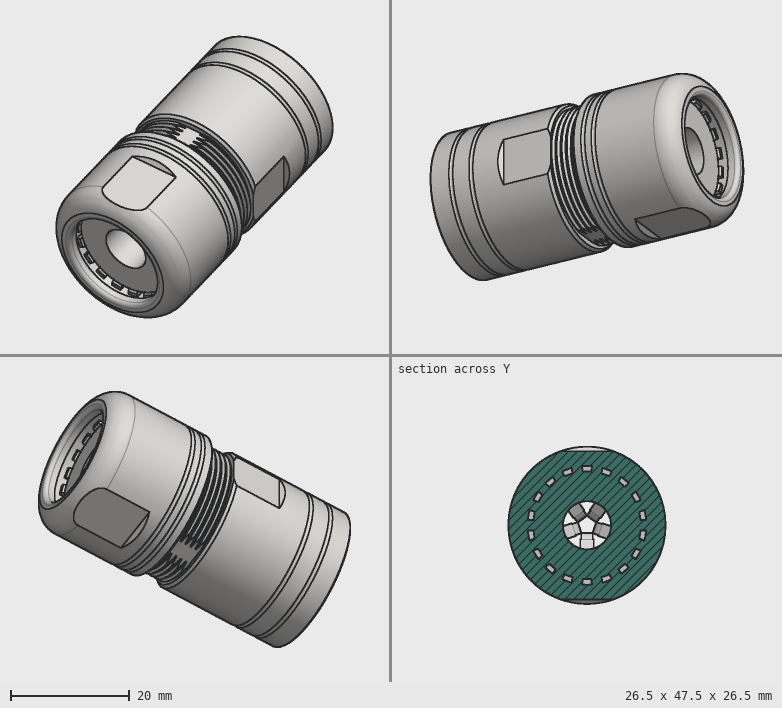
import cadquery as cq
import math


NUT_RADIUS = 13.25
NUT_BACK = 19.55
NUT_ROUND_RADIUS = 4.0
NUT_ROUND_LENGTH = 3.85
NUT_FLAT_HEIGHT = 12.5
NUT_FLAT_END = 12.5
NUT_GROOVES = (15.55, 17.55)
NUT_BACK_CHAMFER = 0.3

MOUTH_RADIUS = 8.8
MOUTH_ROUND = 0.75
LIP_THICKNESS = 2.0
SEAL_RADIUS = 9.05
SEAL_FACE = 4.0
CAGE_CAVITY_RADIUS = 9.98
CAGE_CAVITY_END = 5.4
TOOTH_COUNT = 18
TOOTH_WIDTH = 1.8
TOOTH_FRONT = 3.55
TOOTH_BEVEL = 0.3

LENGTH = 47.5
BODY_RADIUS = 12.8
BODY_FRONT = 24.45
BODY_FRONT_BEVEL_LENGTH = 0.55
BODY_FRONT_BEVEL_DEPTH = 0.45
BODY_BACK_CHAMFER = 0.2
BODY_FLAT_DISTANCE = 12.05
BODY_FLAT_END = 33.6
BODY_GROOVES = (39.5, 43.4)

GROOVE_TUBE_RADIUS = 0.48
GROOVE_DEPTH = 0.2

THREAD_RADIUS = 11.9
THREAD_ROOT_RADIUS = 11.4
THREAD_PITCH = 1.0
THREAD_CREST_WIDTH = 0.055
THREAD_FOOT_WIDTH = 0.95
THREAD_FOOT_RADIUS = 11.3
THREAD_START = 18.9
THREAD_TURNS = 7
NECK_FLAT_HEIGHT = 11.3

BORE_RADIUS = 4.05
FINGER_COUNT = 5
FINGER_START = 28.5
FINGER_SLOPE = 60
FINGER_BEND_RADIUS = 2.35
FINGER_TIP_RADIUS = 1.3
FINGER_WIDTH = 2.3
FINGER_TIP_WIDTH = 2.0

OVERLAP = 0.25
CUTTER_SIZE = 4 * NUT_RADIUS


def revolved(profile):
    """Spin a closed profile, drawn as radius and Y, around the Y axis."""
    return profile.close().revolve(360, (0, 0, 0), (0, 1, 0))


def tube_between(front, back, radius):
    """A solid cylinder on the Y axis."""
    return cq.Workplane("XZ", origin=(0, front, 0)).circle(radius).extrude(front - back)


def groove_ring(radius, position):
    """The ring that cuts a round-bottomed groove into a cylinder."""
    center = radius + GROOVE_TUBE_RADIUS - GROOVE_DEPTH
    return cq.Workplane("XY").center(center, position).circle(GROOVE_TUBE_RADIUS).revolve(
        360, (-center, 0, 0), (-center, 1, 0)
    )


def flat_cutter(distance, outer_radius, start, end):
    """Cutter for a flat facing +Z, with a 45 degree run-out at its far end."""
    rise = outer_radius + OVERLAP - distance
    return (
        cq.Workplane("YZ")
        .moveTo(start, distance)
        .lineTo(end, distance)
        .lineTo(end + rise, distance + rise)
        .lineTo(start, distance + rise)
        .close()
        .extrude(CUTTER_SIZE / 2, both=True)
    )


def turned(shape, angle):
    return shape.rotate((0, 0, 0), (0, 1, 0), angle)


def make_nut():
    face_radius = NUT_RADIUS - NUT_ROUND_RADIUS + math.sqrt(NUT_ROUND_RADIUS**2 - NUT_ROUND_LENGTH**2)
    nut = revolved(
        cq.Workplane("XY")
        .lineTo(0, NUT_BACK)
        .lineTo(NUT_RADIUS - NUT_BACK_CHAMFER, NUT_BACK)
        .lineTo(NUT_RADIUS, NUT_BACK - NUT_BACK_CHAMFER)
        .lineTo(NUT_RADIUS, NUT_ROUND_LENGTH)
        .radiusArc((face_radius, 0), NUT_ROUND_RADIUS)
    )
    for position in NUT_GROOVES:
        nut = nut.cut(groove_ring(NUT_RADIUS, position))
    flat = flat_cutter(NUT_FLAT_HEIGHT, NUT_RADIUS, 0, NUT_FLAT_END)
    for angle in (0, 180):
        nut = nut.cut(turned(flat, angle))
    return nut


def make_mouth():
    """The hollow in front of the seal, with a ring-shaped gap around it, less the cage teeth."""
    mouth = revolved(
        cq.Workplane("XY")
        .lineTo(MOUTH_RADIUS + MOUTH_ROUND, 0)
        .radiusArc((MOUTH_RADIUS, MOUTH_ROUND), MOUTH_ROUND)
        .lineTo(MOUTH_RADIUS, LIP_THICKNESS)
        .lineTo(CAGE_CAVITY_RADIUS, LIP_THICKNESS)
        .lineTo(CAGE_CAVITY_RADIUS, CAGE_CAVITY_END)
        .lineTo(SEAL_RADIUS, CAGE_CAVITY_END)
        .lineTo(SEAL_RADIUS, SEAL_FACE)
        .lineTo(0, SEAL_FACE)
    )
    cage = revolved(
        cq.Workplane("XY")
        .moveTo(SEAL_RADIUS, CAGE_CAVITY_END)
        .lineTo(SEAL_RADIUS, SEAL_FACE)
        .lineTo(SEAL_RADIUS + TOOTH_BEVEL, TOOTH_FRONT)
        .lineTo(CAGE_CAVITY_RADIUS, TOOTH_FRONT)
        .lineTo(CAGE_CAVITY_RADIUS, CAGE_CAVITY_END)
    )
    tooth = cage.intersect(
        cq.Workplane("XY").box(TOOTH_WIDTH, LENGTH, CUTTER_SIZE, centered=(True, True, False))
    )
    for index in range(TOOTH_COUNT):
        mouth = mouth.cut(turned(tooth, 90 + index * 360 / TOOTH_COUNT))
    return mouth


def make_body():
    body = revolved(
        cq.Workplane("XY")
        .moveTo(0, BODY_FRONT)
        .lineTo(BODY_RADIUS - BODY_FRONT_BEVEL_DEPTH, BODY_FRONT)
        .lineTo(BODY_RADIUS, BODY_FRONT + BODY_FRONT_BEVEL_LENGTH)
        .lineTo(BODY_RADIUS, LENGTH - BODY_BACK_CHAMFER)
        .lineTo(BODY_RADIUS - BODY_BACK_CHAMFER, LENGTH)
        .lineTo(0, LENGTH)
    )
    for position in BODY_GROOVES:
        body = body.cut(groove_ring(BODY_RADIUS, position))
    flat = flat_cutter(BODY_FLAT_DISTANCE, BODY_RADIUS, BODY_FRONT, BODY_FLAT_END)
    for angle in (-90, 90):
        body = body.cut(turned(flat, angle))
    return body


def helical_ridge(start, turns, corners):
    """Solid that winds right-handed around the Y axis; corners are its section as radius and offset."""
    rails = []
    for radius, offset in corners:
        helix = cq.Wire.makeHelix(THREAD_PITCH, turns * THREAD_PITCH, radius)
        rails.append(helix.translate(cq.Vector(0, 0, offset)))
    faces = []
    for index, rail in enumerate(rails):
        faces.append(cq.Face.makeRuledSurface(rail, rails[(index + 1) % len(rails)]))
    for end in (0, 1):
        outline = cq.Wire.makePolygon([rail.positionAt(end) for rail in rails], close=True)
        faces.append(cq.Face.makeFromWires(outline))
    upright = cq.Workplane(cq.Solid.makeSolid(cq.Shell.makeShell(faces)))
    return upright.rotate((0, 0, 0), (1, 0, 0), -90).translate((0, start, 0))


def make_neck():
    """Neck with a thread and a flat above and below."""
    half_foot = THREAD_FOOT_WIDTH / 2
    half_crest = THREAD_CREST_WIDTH / 2
    ridge = helical_ridge(
        THREAD_START,
        THREAD_TURNS,
        (
            (THREAD_FOOT_RADIUS, -half_foot),
            (THREAD_RADIUS, -half_crest),
            (THREAD_RADIUS, half_crest),
            (THREAD_FOOT_RADIUS, half_foot),
        ),
    )
    ridge = ridge.intersect(tube_between(NUT_BACK, BODY_FRONT, THREAD_RADIUS + OVERLAP))
    neck = tube_between(NUT_BACK, BODY_FRONT, THREAD_ROOT_RADIUS).union(ridge)
    keep = cq.Workplane("XY").box(CUTTER_SIZE, 2 * LENGTH, 2 * NECK_FLAT_HEIGHT)
    return neck.intersect(keep)


def make_finger():
    """A spring finger hanging below the axis: a ramp that rounds off at its tip."""
    root = BORE_RADIUS + OVERLAP
    slope = math.radians(FINGER_SLOPE)
    ramp_end = FINGER_START + (root - FINGER_BEND_RADIUS) / math.tan(slope)
    tip_rise = FINGER_BEND_RADIUS - FINGER_TIP_RADIUS
    tip_round = tip_rise / (1 - math.cos(slope))
    tip_end = ramp_end + tip_round * math.sin(slope)
    side = (
        cq.Workplane("YZ")
        .moveTo(FINGER_START, -root)
        .lineTo(ramp_end, -FINGER_BEND_RADIUS)
        .radiusArc((tip_end, -FINGER_TIP_RADIUS), tip_round)
        .lineTo(tip_end, -root)
        .close()
        .extrude(FINGER_WIDTH / 2, both=True)
    )
    ramp_space = cq.Workplane("XY", origin=(0, 0, -root)).box(
        FINGER_WIDTH, 2 * LENGTH, root - FINGER_BEND_RADIUS, centered=(True, True, False)
    )
    tip_space = cq.Workplane("XY").box(FINGER_TIP_WIDTH, 2 * LENGTH, 2 * root)
    return side.intersect(ramp_space.union(tip_space))


result = make_nut().union(make_neck()).union(make_body())
result = result.cut(make_mouth())
result = result.cut(tube_between(0, LENGTH, BORE_RADIUS))
finger = make_finger()
for number in range(FINGER_COUNT):
    result = result.union(turned(finger, number * 360 / FINGER_COUNT))